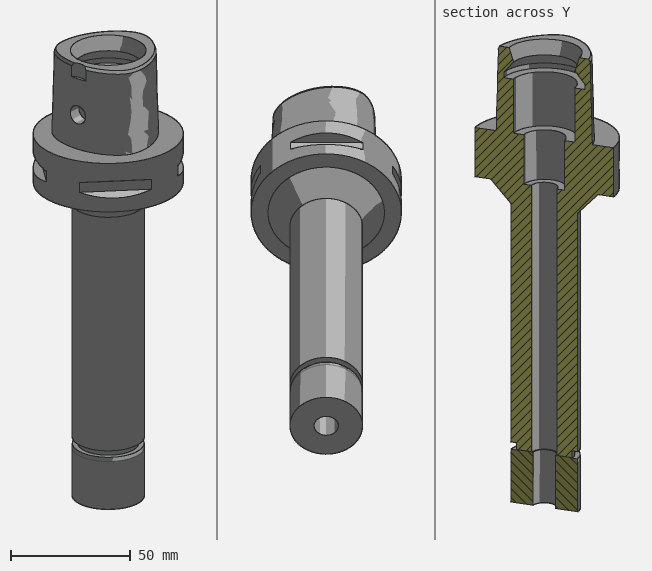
import cadquery as cq
import math

total_height = 203.0
flange_top = 165.0
flange_bottom = 143.0
cone_bottom = 133.4
neck_top = 26.8
nut_height = 23.8

flange_radius = 31.5
cone_top_radius = 24.4
shank_radius = 15.2
neck_radius = 12.8

nut_chamfer_height = 1.8
nut_chamfer_width = 0.2
nut_bore_radius = 5.0

lobe_height = 1.5
taper_base_radius = 22.3
taper_top_radius = 21.3
rim_chamfer_height = 1.5
rim_chamfer_width = 0.6
outline_points = 48

mouth_radius = 15.8
throat_radius = 13.8
throat_depth = 6.3
groove_radius = 18.3
groove_cone_depth = 11.5
groove_depth = 13.8
throat_bore_depth = total_height - flange_top
drawbar_radius = 9.1
drawbar_depth = total_height - flange_bottom
coolant_radius = 5.7

side_hole_radius = 4.0
side_hole_z = 180.5
side_hole_floor = 14.6

notch_radius = 6.5
notch_depth = 6.3
notch_inner = 18.5

slot_count = 4
slot_z = 153.0
slot_floor_distance = 27.6
slot_floor_half_height = 2.2
slot_mouth_half_height = 3.9


def lobed_outline(mean_radius, z):
    """Closed curve with support function mean_radius + lobe_height * cos(3 * angle), one lobe on +Y."""
    points = []
    for i in range(outline_points):
        angle = 2 * math.pi * i / outline_points
        support = mean_radius + lobe_height * math.cos(3 * angle)
        slope = -3 * lobe_height * math.sin(3 * angle)
        x = -support * math.sin(angle) - slope * math.cos(angle)
        y = support * math.cos(angle) - slope * math.sin(angle)
        points.append(cq.Vector(x, y, z))
    return cq.Wire.assembleEdges([cq.Edge.makeSpline(points, periodic=True)])


def make_taper():
    rim_z = total_height - rim_chamfer_height
    base = lobed_outline(taper_base_radius, flange_top)
    rim = lobed_outline(taper_top_radius, rim_z)
    top = lobed_outline(taper_top_radius - rim_chamfer_width, total_height)
    shank = cq.Solid.makeLoft([base, rim], True)
    chamfer = cq.Solid.makeLoft([rim, top], True)
    return cq.Workplane(shank).union(cq.Workplane(chamfer))


def revolve_profile(points):
    """Revolve a closed (radius, z) profile about the Z axis."""
    return cq.Workplane("XZ").polyline(points).close().revolve(360, (0, 0), (0, 1))


def make_turned_body():
    return revolve_profile([
        (0, nut_height),
        (neck_radius, nut_height),
        (neck_radius, neck_top),
        (shank_radius, neck_top),
        (shank_radius, cone_bottom),
        (cone_top_radius, flange_bottom),
        (flange_radius, flange_bottom),
        (flange_radius, flange_top),
        (0, flange_top),
    ])


def make_bore():
    """Tapered mouth, undercut gripping groove, throat bore, drawbar bore and coolant channel."""
    return revolve_profile([
        (0, total_height),
        (mouth_radius, total_height),
        (throat_radius, total_height - throat_depth),
        (groove_radius, total_height - groove_cone_depth),
        (groove_radius, total_height - groove_depth),
        (throat_radius, total_height - groove_depth),
        (throat_radius, total_height - throat_bore_depth),
        (drawbar_radius, total_height - throat_bore_depth),
        (drawbar_radius, total_height - drawbar_depth),
        (coolant_radius, total_height - drawbar_depth),
        (coolant_radius, nut_height),
        (0, nut_height),
    ])


def make_side_hole():
    return (
        cq.Workplane("XZ", origin=(0, -side_hole_floor, side_hole_z))
        .circle(side_hole_radius)
        .extrude(flange_radius - side_hole_floor)
    )


def make_key_notch():
    return (
        cq.Workplane("XY", origin=(0, -notch_inner - notch_radius, total_height - notch_depth))
        .circle(notch_radius)
        .extrude(notch_depth)
    )


def make_gripper_slot(angle):
    """Flat-bottomed groove with sloping sides, tangent to the flange at the given angle."""
    slope = (slot_mouth_half_height - slot_floor_half_height) / (flange_radius - slot_floor_distance)
    outer = flange_radius + 2.0
    outer_half_height = slot_floor_half_height + slope * (outer - slot_floor_distance)
    return (
        cq.Workplane("XZ", origin=(0, 0, slot_z))
        .moveTo(slot_floor_distance, -slot_floor_half_height)
        .lineTo(outer, -outer_half_height)
        .lineTo(outer, outer_half_height)
        .lineTo(slot_floor_distance, slot_floor_half_height)
        .close()
        .extrude(flange_radius, both=True)
        .rotate((0, 0, 0), (0, 0, 1), angle)
    )


def make_holder():
    holder = make_turned_body().union(make_taper())
    holder = holder.cut(make_bore()).cut(make_side_hole()).cut(make_key_notch())
    pitch = 360 / slot_count
    for i in range(slot_count):
        holder = holder.cut(make_gripper_slot(pitch * (i + 0.5)))
    return holder.solids()


def make_nut():
    return revolve_profile([
        (nut_bore_radius, 0),
        (shank_radius, 0),
        (shank_radius, nut_height - nut_chamfer_height),
        (shank_radius - nut_chamfer_width, nut_height),
        (nut_bore_radius, nut_height),
    ])


holder = make_holder()
nut = make_nut()
result = cq.Compound.makeCompound([holder.val(), nut.val()])